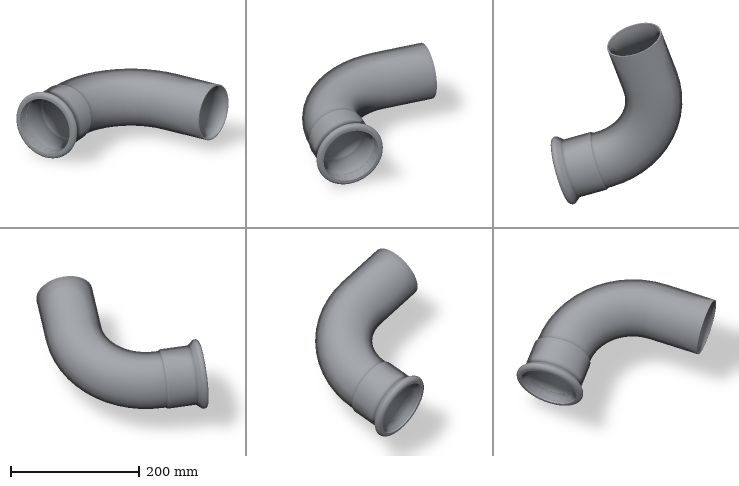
import cadquery as cq
import math

pipe_radius = 44.5
pipe_bore_radius = 42.5
overall_depth = 228.5
overall_length = 249.7
bend_start = 70.0
spigot_axis_y = overall_depth - pipe_radius
bend_radius = spigot_axis_y - bend_start

sleeve_radius = 46.7
sleeve_start = 17.5
sleeve_end = 60.2
shoulder_end = 64.7
bead_radius = 54.7
bead_round = 6.0
bead_center_radius = bead_radius - bead_round
spigot_length = overall_length - bead_radius - bend_radius

mouth_radius = 45.5
lip_thickness = 2.5
seat_radius = 47.0
seat_start = 4.5
seat_end = sleeve_start
seat_end_radius = 45.2
socket_bore_radius = 44.7
socket_depth = sleeve_end
socket_taper_end = 63.5


def swept_tube(radius):
    """Solid round bar along the quarter bend and the straight spigot."""
    section = cq.Workplane("XZ", origin=(0, bend_start, 0)).circle(radius)
    bend = section.revolve(90, (bend_radius, 0, 0), (bend_radius, -1, 0))
    spigot = (
        cq.Workplane("YZ", origin=(bend_radius, spigot_axis_y, 0))
        .circle(radius)
        .extrude(spigot_length)
    )
    return bend.union(spigot)


def socket_body():
    """Solid of revolution: rounded bead, cone, sleeve and rounded shoulder."""
    diagonal = math.sqrt(0.5) * bead_round
    shoulder_mid = (
        pipe_radius + (sleeve_radius - pipe_radius) * math.sqrt(0.5),
        sleeve_end + (shoulder_end - sleeve_end) * math.sqrt(0.5),
    )
    return (
        cq.Workplane("XY")
        .lineTo(bead_center_radius, 0)
        .threePointArc(
            (bead_radius, bead_round),
            (bead_center_radius + diagonal, bead_round + diagonal),
        )
        .lineTo(sleeve_radius, sleeve_start)
        .lineTo(sleeve_radius, sleeve_end)
        .threePointArc(shoulder_mid, (pipe_radius, shoulder_end))
        .lineTo(pipe_radius, bend_start)
        .lineTo(0, bend_start)
        .close()
        .revolve(360, (0, 0, 0), (0, 1, 0))
    )


def socket_cavity():
    """Bore: mouth lip, tapered seal seat, socket, end taper and pipe bore."""
    return (
        cq.Workplane("XY")
        .lineTo(mouth_radius, 0)
        .lineTo(mouth_radius, lip_thickness)
        .lineTo(seat_radius, seat_start)
        .lineTo(seat_end_radius, seat_end)
        .lineTo(socket_bore_radius, seat_end)
        .lineTo(socket_bore_radius, socket_depth)
        .lineTo(pipe_bore_radius, socket_taper_end)
        .lineTo(pipe_bore_radius, bend_start)
        .lineTo(0, bend_start)
        .close()
        .revolve(360, (0, 0, 0), (0, 1, 0))
    )


outside = socket_body().union(swept_tube(pipe_radius))
result = outside.cut(swept_tube(pipe_bore_radius)).cut(socket_cavity())